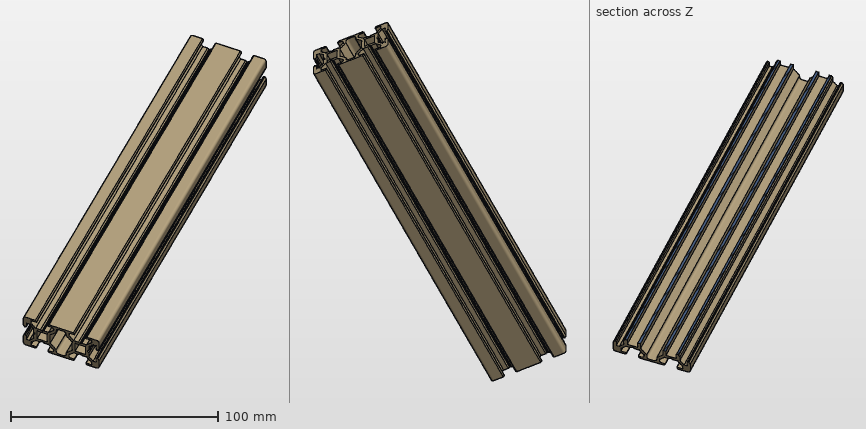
import cadquery as cq

width = 40.0
length = 200.0
height = 20.0
corner_radius = 1.5
half_width = width / 2
half_height = height / 2

slot_x = width / 4
groove_half = 0.9
groove_bottom_half = 0.2
groove_depth = 0.5

mouth_half = 3.0
lip_thickness = 1.2
bevel_width = 0.5
bevel_depth = 0.8
cavity_half = 6.0
cavity_straight_z = 7.0
slot_floor_z = 4.5
stem_fillet = 1.2

side_mouth_half = 2.8
side_lip_thickness = 1.5
side_bevel_width = 1.2
side_bevel_depth = 0.7
side_inner_bevel = 0.5
side_cavity_half = 5.8
side_straight_x = 16.8
side_floor_x = 14.5

center_half_width = 5.8
center_wall_half = 3.0
center_neck_half = 2.5
center_neck_z = center_wall_half + center_half_width - center_neck_half
center_fillet = 1.5

inner_core_wall = 1.5
outer_core_wall = 1.9
floor_core_wall = 1.5
tunnel_inner_x = center_half_width + inner_core_wall
tunnel_outer_x = side_floor_x - outer_core_wall
tunnel_half_height = slot_floor_z - floor_core_wall

overcut = 2.0


def prism(points):
    """Extrude a closed XZ outline along the whole rail."""
    return cq.Workplane("XZ").polyline(points).close().extrude(length / 2, both=True)


def mirrored_outline(half):
    """Complete a half outline with its mirror image across the axis."""
    return half + [(-offset, depth) for offset, depth in reversed(half)]


def slot_outline(face, lip, mouth, bevel, cavity, straight, floor):
    """T-slot outline as (offset from the slot axis, distance from the rail's middle plane).

    The cavity narrows at 45 degrees from the end of its straight walls to its grooved floor.
    """
    bevel_across, bevel_down = bevel
    floor_half = cavity - (straight - floor)
    return mirrored_outline(
        [
            (groove_bottom_half, floor - groove_depth),
            (groove_half, floor),
            (floor_half, floor),
            (cavity, straight),
            (cavity, face - lip),
            (mouth, face - lip),
            (mouth, face - bevel_down),
            (mouth + bevel_across, face),
            (mouth + bevel_across, face + overcut),
        ]
    )


def top_slot():
    """Slot in the top at +X, rounded where its lip meets the central stem."""
    outline = slot_outline(
        face=half_height,
        lip=lip_thickness,
        mouth=mouth_half,
        bevel=(bevel_width, bevel_depth),
        cavity=cavity_half,
        straight=cavity_straight_z,
        floor=slot_floor_z,
    )
    slot = prism([(slot_x + offset, z) for offset, z in outline])
    stem_corner = (slot_x - cavity_half, 0, half_height - lip_thickness)
    return slot.edges(cq.selectors.NearestToPointSelector(stem_corner)).fillet(stem_fillet)


def side_slot():
    """Slot in the +X side, with its lip tips also chamfered on the inside."""
    outline = slot_outline(
        face=half_width,
        lip=side_lip_thickness,
        mouth=side_mouth_half,
        bevel=(side_bevel_width, side_bevel_depth),
        cavity=side_cavity_half,
        straight=side_straight_x,
        floor=side_floor_x,
    )
    slot = prism([(x, offset) for offset, x in outline])
    for z in (side_mouth_half, -side_mouth_half):
        inner_tip = (half_width - side_lip_thickness, 0, z)
        slot = slot.edges(cq.selectors.NearestToPointSelector(inner_tip)).chamfer(side_inner_bevel)
    return slot


def core_tunnel():
    """Rectangular tunnel through the +X core."""
    tunnel = cq.Workplane("XY").box(tunnel_outer_x - tunnel_inner_x, length, 2 * tunnel_half_height)
    return tunnel.translate(((tunnel_outer_x + tunnel_inner_x) / 2, 0, 0))


def center_tunnel():
    """Tall tunnel between the cores, rounded under the top and bottom webs."""
    roof_z = half_height - lip_thickness
    right_half = [
        (center_neck_half, -roof_z),
        (center_neck_half, -center_neck_z),
        (center_half_width, -center_wall_half),
        (center_half_width, center_wall_half),
        (center_neck_half, center_neck_z),
        (center_neck_half, roof_z),
    ]
    tunnel = prism(mirrored_outline(right_half))
    return tunnel.faces(">Z or <Z").edges("|Y").fillet(center_fillet)


rail = cq.Workplane("XY").box(width, length, height).edges("|Y").fillet(corner_radius)

upper_slot = top_slot()
lower_slot = upper_slot.mirror("XY")
for cutter in (upper_slot, lower_slot, side_slot(), core_tunnel()):
    rail = rail.cut(cutter).cut(cutter.mirror("YZ"))

result = rail.cut(center_tunnel())